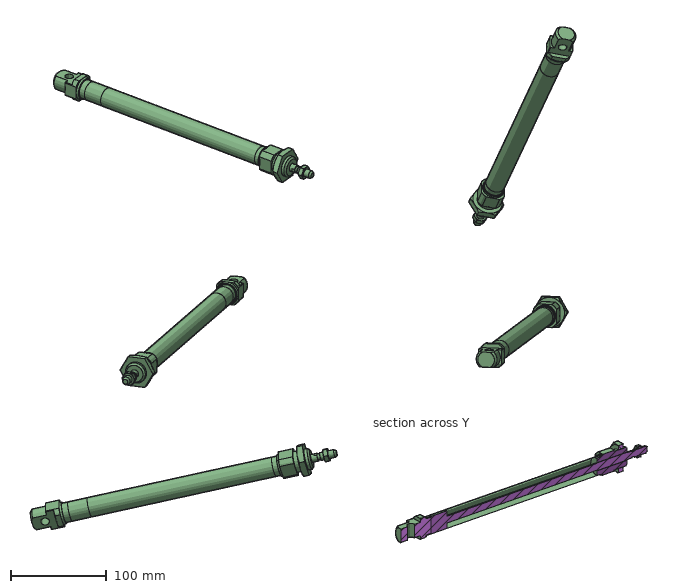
import cadquery as cq
import math

TOTAL_LENGTH = 329.0
REAR_CHAMFER = 2.3
REAR_COLLAR_START = 17.5
TONGUE_END = 26.0
REAR_COLLAR_END = 32.0
BARREL_START = 34.2
PISTON_START = 40.8
PISTON_END = 62.0
FRONT_SPIGOT_START = 261.2
BARREL_END = 266.8
FRONT_COLLAR_START = 269.0
FRONT_COLLAR_END = 284.5
MOUNT_NUT_START = 290.0
FRONT_CAP_END = 302.0
ROD_NECK_START = 308.5
ROD_NECK_END = 311.5
ROD_NUT_START = 315.5
ROD_CHAMFER_START = 326.7

COLLAR_WIDTH = 24.7
COLLAR_DIAMETER = 28.5
LIP_RADIUS = 11.5
THREAD_RADIUS = 11.2
FRONT_THREAD_CHAMFER = 2.0
TONGUE_THICKNESS = 16.0
PIVOT_HOLE_X = 13.8
PIVOT_HOLE_DIAMETER = 9.0

BARREL_RADIUS = 10.5
BARREL_WALL = 0.53
BORE_RADIUS = BARREL_RADIUS - BARREL_WALL
ROD_RADIUS = 4.3
ROD_NECK_RADIUS = 3.3
ROD_TIP_RADIUS = 2.5
ROD_FLAT_START = 305.5
ROD_FLAT_WIDTH = 8.0
MOUNT_NUT_WIDTH = 32.0
MOUNT_NUT_THICKNESS = 7.0
ROD_NUT_WIDTH = 12.8
ROD_NUT_THICKNESS = 5.0
NUT_CHAMFER_ANGLE = 30.0
HEX_SIDES = 6


def turned(profile):
    """Revolve a closed (x, radius) outline around the X axis."""
    return cq.Workplane("XZ").polyline(profile).close().revolve(360, (0, 0, 0), (1, 0, 0))


def cylinder(start, end, radius):
    return turned([(start, 0), (start, radius), (end, radius), (end, 0)])


def slab(start, end, width_y, width_z):
    """Box centred on the axis between two stations."""
    return cq.Workplane("XY").box(end - start, width_y, width_z).translate(((start + end) / 2, 0, 0))


def square_collar(start, end):
    """Square block whose corners are rounded about the axis."""
    return slab(start, end, COLLAR_WIDTH, COLLAR_WIDTH).intersect(cylinder(start, end, COLLAR_DIAMETER / 2))


def make_rear_cap():
    """Flattened tongue with a cross hole, square collar, lip and spigot plugging the barrel."""
    tongue = turned([
        (0, 0),
        (0, THREAD_RADIUS - REAR_CHAMFER),
        (REAR_CHAMFER, THREAD_RADIUS),
        (REAR_COLLAR_START, THREAD_RADIUS),
        (REAR_COLLAR_START, 0),
    ])
    collar = square_collar(REAR_COLLAR_START, REAR_COLLAR_END)
    lip = turned([
        (REAR_COLLAR_END, 0),
        (REAR_COLLAR_END, COLLAR_WIDTH / 2),
        (BARREL_START, LIP_RADIUS),
        (BARREL_START, 0),
    ])
    flats = slab(0, TONGUE_END, COLLAR_WIDTH, TONGUE_THICKNESS)
    rest = slab(TONGUE_END, PISTON_START, COLLAR_DIAMETER, COLLAR_DIAMETER)
    pivot_hole = cq.Workplane("XY").center(PIVOT_HOLE_X, 0).circle(PIVOT_HOLE_DIAMETER / 2)
    pivot_hole = pivot_hole.extrude(COLLAR_WIDTH, both=True)
    spigot = cylinder(BARREL_START, PISTON_START, BORE_RADIUS)
    return tongue.union(collar).union(lip).union(spigot).intersect(flats.union(rest)).cut(pivot_hole)


def make_barrel():
    """Thin-walled tube between the two caps."""
    outside = cylinder(BARREL_START, BARREL_END, BARREL_RADIUS)
    return outside.cut(cylinder(BARREL_START, BARREL_END, BORE_RADIUS))


def make_front_cap():
    """Spigot, lip, square collar and mounting thread, bored for the rod."""
    spigot = cylinder(FRONT_SPIGOT_START, BARREL_END, BORE_RADIUS)
    lip = cylinder(BARREL_END, FRONT_COLLAR_START, LIP_RADIUS)
    collar = square_collar(FRONT_COLLAR_START, FRONT_COLLAR_END)
    thread = turned([
        (FRONT_COLLAR_END, 0),
        (FRONT_COLLAR_END, THREAD_RADIUS),
        (FRONT_CAP_END - FRONT_THREAD_CHAMFER, THREAD_RADIUS),
        (FRONT_CAP_END, THREAD_RADIUS - FRONT_THREAD_CHAMFER),
        (FRONT_CAP_END, 0),
    ])
    rod_bore = cylinder(FRONT_SPIGOT_START, FRONT_CAP_END, ROD_RADIUS)
    return spigot.union(lip).union(collar).union(thread).cut(rod_bore)


def make_rod():
    """Piston and rod in one piece, with wrench flats, a neck and a chamfered thread end."""
    rod = turned([
        (PISTON_START, 0),
        (PISTON_START, BORE_RADIUS),
        (PISTON_END, BORE_RADIUS),
        (PISTON_END, ROD_RADIUS),
        (ROD_NECK_START, ROD_RADIUS),
        (ROD_NECK_START, ROD_NECK_RADIUS),
        (ROD_NECK_END, ROD_NECK_RADIUS),
        (ROD_NECK_END, ROD_RADIUS),
        (ROD_CHAMFER_START, ROD_RADIUS),
        (TOTAL_LENGTH, ROD_TIP_RADIUS),
        (TOTAL_LENGTH, 0),
    ])
    flat_depth = ROD_RADIUS - ROD_FLAT_WIDTH / 2
    for side in (-1, 1):
        offset = side * (ROD_FLAT_WIDTH + flat_depth) / 2
        wrench_flat = slab(ROD_FLAT_START, ROD_NECK_START, flat_depth, 2 * ROD_RADIUS)
        rod = rod.cut(wrench_flat.translate((0, offset, 0)))
    return rod


def make_nut(start, thickness, width, bore_radius, chamfer_front=False):
    """Hex nut with two flats facing +Z and -Z; corners chamfered at the rear, optionally in front."""
    corner_radius = width / 2 / math.cos(math.radians(180 / HEX_SIDES))
    face_radius = width / 2
    drop = (corner_radius - face_radius) * math.tan(math.radians(NUT_CHAMFER_ANGLE))
    end = start + thickness
    if chamfer_front:
        front = [(end - drop, corner_radius), (end, face_radius)]
    else:
        front = [(end, corner_radius)]
    envelope = turned([(start, 0), (start, face_radius), (start + drop, corner_radius), *front, (end, 0)])
    hexagon = cq.Workplane("YZ").polygon(HEX_SIDES, 2 * corner_radius).extrude(thickness)
    hexagon = hexagon.translate((start, 0, 0))
    return hexagon.intersect(envelope).cut(cylinder(start, end, bore_radius))


rear_cap = make_rear_cap()
barrel = make_barrel()
front_cap = make_front_cap()
mount_nut = make_nut(MOUNT_NUT_START, MOUNT_NUT_THICKNESS, MOUNT_NUT_WIDTH, THREAD_RADIUS)
rod = make_rod()
rod_nut = make_nut(ROD_NUT_START, ROD_NUT_THICKNESS, ROD_NUT_WIDTH, ROD_RADIUS, chamfer_front=True)

result = cq.Compound.makeCompound([
    rear_cap.val(),
    barrel.val(),
    front_cap.val(),
    mount_nut.val(),
    rod.val(),
    rod_nut.val(),
])